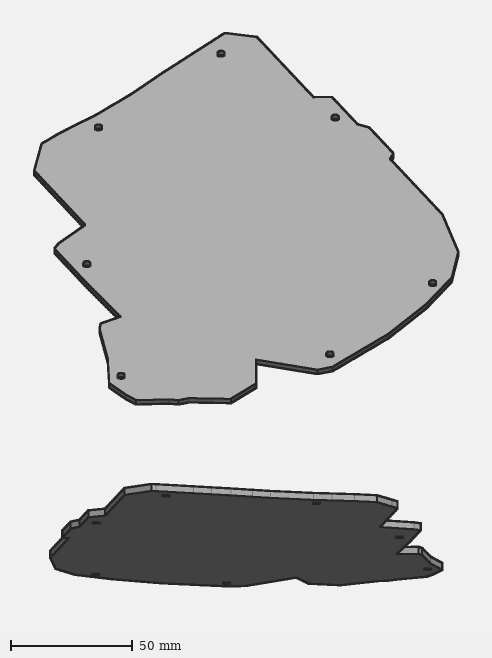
import cadquery as cq

thickness = 3.0
hole_diameter = 3.0

top_edge = [
    (-83.0, 64.6),
    (-73.6, 74.0),
    (-34.5, 74.0),
    (-30.0, 80.0),
    (-12.3, 80.0),
    (-8.1, 82.9),
    (8.8, 82.9),
    (10.1, 80.0),
    (46.4, 80.0),
]
rounded_right_edge = [
    (65.8, 73.8),
    (75.1, 63.5),
    (79.9, 46.8),
    (83.0, 25.1),
    (83.0, -3.7),
    (80.5, -9.6),
]
lower_right_lobe = [
    (61.3, -26.7),
    (71.3, -34.0),
    (71.5, -47.3),
    (60.8, -61.0),
    (59.1, -65.0),
    (56.3, -68.1),
    (48.7, -79.0),
    (44.0, -80.7),
    (35.0, -82.7),
    (24.5, -75.6),
    (9.5, -68.8),
    (7.8, -67.0),
    (9.8, -58.3),
]
bottom_edge = [
    (-12.8, -59.0),
    (-34.9, -59.0),
    (-36.0, -55.8),
    (-37.2, -41.4),
    (-72.5, -41.4),
    (-75.1, -38.4),
]
left_edge = [
    (-81.9, -30.5),
    (-81.9, -21.3),
    (-81.2, -11.8),
    (-80.5, -4.2),
    (-80.5, 14.0),
    (-81.0, 21.6),
    (-81.7, 30.9),
    (-82.0, 39.2),
    (-82.4, 46.8),
    (-83.0, 62.6),
]
outline = top_edge + rounded_right_edge + lower_right_lobe + bottom_edge + left_edge

screw_holes = [
    (-75.5, 56.8),
    (-20.6, 74.8),
    (72.6, 55.5),
    (77.1, -0.7),
    (-74.8, -6.6),
    (-20.5, -53.0),
    (34.7, -76.5),
]


def make_plate():
    """Extrude the outline symmetrically about the XY plane."""
    return cq.Workplane("XY").polyline(outline).close().extrude(thickness / 2, both=True)


def drill_screw_holes(plate):
    """Cut every screw hole right through the plate."""
    top_face = plate.faces(">Z").workplane(origin=(0, 0, 0))
    return top_face.pushPoints(screw_holes).hole(hole_diameter)


result = drill_screw_holes(make_plate())